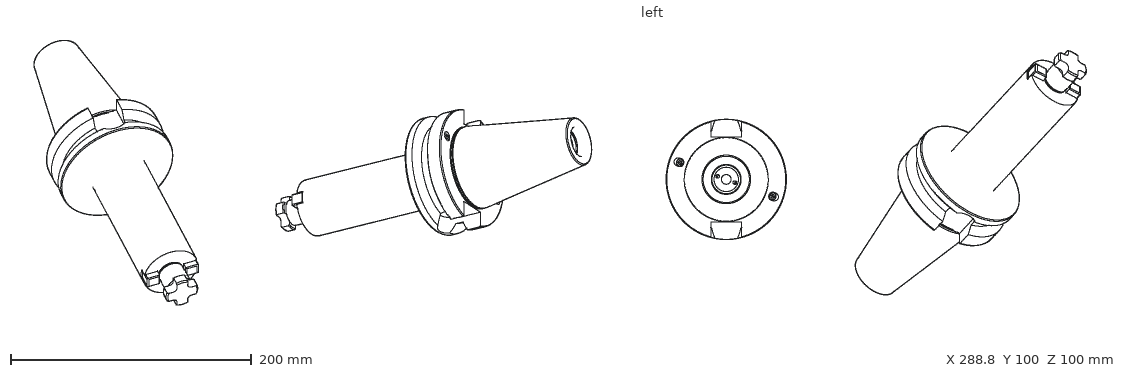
import cadquery as cq
import math

total_length = 288.8
gauge_x = 102.0
flange_x = 104.8
flange_end_x = 139.8
shank_end_x = 262.0
pilot_end_x = 280.5

gauge_radius = 35.0
taper_per_length = 7 / 48
taper_end_radius = gauge_radius - gauge_x * taper_per_length
taper_end_chamfer = 1.0
flange_radius = 50.0
shank_radius = 24.0
pilot_radius = 11.0

neck_relief_width = 1.7
neck_relief_depth = 0.5

flange_rear_chamfer_length = 1.2
flange_front_chamfer_length = 1.2
flange_chamfer_depth = 0.5
groove_radius = 42.2
groove_floor_width = 6.4
groove_centre_x = 125.0
groove_step_width = 0.5
groove_step_depth = 1.5
flank_slope = math.tan(math.radians(30))
rear_flank_run = (flange_radius - groove_radius - groove_step_depth) * flank_slope
front_flank_run = (flange_radius - groove_radius) * flank_slope
slot_width = 25.7
slot_floor_z = 35.2
slot_end_x = 136.5
shank_fillet = 3.2

shank_chamfer_length = 1.2
shank_chamfer_depth = 0.3
pilot_relief_width = 1.0
pilot_relief_runout = 1.0
pilot_relief_depth = 0.3
pilot_chamfer_length = 2.5
pilot_chamfer_depth = 0.3

mouth_rounding = 2.0
counterbore_radius = 12.5
counterbore_depth = 9.5
pilot_bore_radius = 11.8
pilot_bore_depth = 10.7
thread_radius = 10.0
drill_depth = 115.5
drill_half_angle = 59.0
passage_radius = 4.0
thread_start_x = pilot_bore_depth + pilot_bore_radius - thread_radius
drill_cone_length = (thread_radius - passage_radius) / math.tan(math.radians(drill_half_angle))

duct_angle = 20.0
duct_tilt = 30.0
duct_mouth_radius = 42.0
duct_exit_radius = 7.5
duct_radius = 1.5
duct_turns = (duct_angle, duct_angle + 180)
slant_run = (duct_mouth_radius - duct_exit_radius) / math.tan(math.radians(duct_tilt))
slant_length = slant_run / math.cos(math.radians(duct_tilt))

plug_radius = 3.5
plug_depth = 1.7
plug_length = 7.2
plug_chamfer = 0.5
plug_socket_width = 3.5
plug_socket_depth = 3.0

key_width = 10.0
key_inner_y = 11.5
key_outer_y = 23.0
key_start_x = 256.0
key_end_x = 267.5
key_chamfer = 1.0

head_radius = 14.2
head_rear_chamfer = 1.0
head_front_chamfer_length = 1.2
head_front_chamfer_depth = 1.2
lobe_half_width = 5.0
notch_corner_radius = 3.2
screw_shank_length = 29.0

pick_margin = 0.3


def revolve_about_x(profile):
    """Solid of revolution about X from a closed list of (x, radius) points."""
    return cq.Workplane("XZ").polyline(profile).close().revolve(360, (0, 0, 0), (1, 0, 0))


def at_duct(shape, turn):
    """Moves a shape built along +X from the origin onto one slanted duct, its origin at the mouth."""
    tilted = shape.rotate((0, 0, 0), (0, 0, 1), -duct_tilt)
    return tilted.translate((flange_x, duct_mouth_radius, 0)).rotate((0, 0, 0), (1, 0, 0), turn)


def cylinder_along_x(radius, start_x, end_x):
    return cq.Workplane("YZ", origin=(start_x, 0, 0)).circle(radius).extrude(end_x - start_x)


def holder_blank():
    groove_start_x = groove_centre_x - groove_floor_width / 2
    groove_stop_x = groove_centre_x + groove_floor_width / 2
    flange_edge_radius = flange_radius - flange_chamfer_depth
    neck_radius = gauge_radius - neck_relief_depth
    relief_start_x = flange_x - neck_relief_width
    profile = [
        (0, 0),
        (0, taper_end_radius - taper_end_chamfer),
        (taper_end_chamfer, taper_end_radius + taper_end_chamfer * taper_per_length),
        (gauge_x, gauge_radius),
        (relief_start_x, neck_radius),
        (flange_x - neck_relief_depth, neck_radius),
        (flange_x, gauge_radius),
        (flange_x, flange_edge_radius),
        (flange_x + flange_rear_chamfer_length, flange_radius),
        (groove_start_x - groove_step_width - rear_flank_run, flange_radius),
        (groove_start_x - groove_step_width, groove_radius + groove_step_depth),
        (groove_start_x, groove_radius),
        (groove_stop_x, groove_radius),
        (groove_stop_x + front_flank_run, flange_radius),
        (flange_end_x - flange_front_chamfer_length, flange_radius),
        (flange_end_x, flange_edge_radius),
        (flange_end_x, shank_radius),
        (shank_end_x - shank_chamfer_length, shank_radius),
        (shank_end_x, shank_radius - shank_chamfer_depth),
        (shank_end_x, pilot_radius - pilot_relief_depth),
        (shank_end_x + pilot_relief_width, pilot_radius - pilot_relief_depth),
        (shank_end_x + pilot_relief_width + pilot_relief_runout, pilot_radius),
        (pilot_end_x - pilot_chamfer_length, pilot_radius),
        (pilot_end_x, pilot_radius - pilot_chamfer_depth),
        (pilot_end_x, 0),
    ]
    shank_root = cq.selectors.BoxSelector(
        (flange_end_x - pick_margin, -flange_edge_radius, -flange_edge_radius),
        (flange_end_x + pick_margin, flange_edge_radius - pick_margin, flange_edge_radius - pick_margin),
        boundingbox=True,
    )
    return revolve_about_x(profile).edges(shank_root).fillet(shank_fillet)


def flange_slot(side):
    """Cutter for one round-ended driving slot; side is +1 for +Z and -1 for -Z."""
    end_centre_x = slot_end_x - slot_width / 2
    return (
        cq.Workplane("XY", origin=(0, 0, side * slot_floor_z))
        .moveTo(flange_x, -slot_width / 2)
        .lineTo(end_centre_x, -slot_width / 2)
        .threePointArc((slot_end_x, 0), (end_centre_x, slot_width / 2))
        .lineTo(flange_x, slot_width / 2)
        .close()
        .extrude(side * flange_radius)
    )


def central_bore():
    mouth_radius = counterbore_radius + mouth_rounding
    arc_offset = mouth_rounding * math.sqrt(0.5)
    return (
        cq.Workplane("XZ")
        .lineTo(0, mouth_radius)
        .threePointArc(
            (mouth_rounding - arc_offset, mouth_radius - arc_offset),
            (mouth_rounding, counterbore_radius),
        )
        .lineTo(counterbore_depth, counterbore_radius)
        .lineTo(counterbore_depth, pilot_bore_radius)
        .lineTo(pilot_bore_depth, pilot_bore_radius)
        .lineTo(thread_start_x, thread_radius)
        .lineTo(drill_depth, thread_radius)
        .lineTo(drill_depth + drill_cone_length, passage_radius)
        .lineTo(pilot_end_x, passage_radius)
        .lineTo(pilot_end_x, 0)
        .close()
        .revolve(360, (0, 0, 0), (1, 0, 0))
    )


def coolant_duct(turn):
    """Cutter for one duct: the seat of the plug, the slanted leg and the straight leg."""
    seat = cylinder_along_x(plug_radius, -plug_radius, plug_depth + plug_length)
    slanted_leg = cylinder_along_x(duct_radius, 0, slant_length)
    straight_leg = (
        cylinder_along_x(duct_radius, drill_depth, flange_x + slant_run)
        .translate((0, duct_exit_radius, 0))
        .rotate((0, 0, 0), (1, 0, 0), turn)
    )
    return at_duct(seat.union(slanted_leg), turn).union(straight_leg)


def key_block(side):
    """Square-edged block for one key; side is +1 for +Y and -1 for -Y."""
    return cq.Workplane("XY").box(
        key_end_x - key_start_x, key_outer_y - key_inner_y, key_width
    ).translate(((key_start_x + key_end_x) / 2, side * (key_inner_y + key_outer_y) / 2, 0))


def key_slot(side):
    depth = shank_end_x - key_start_x
    height = shank_radius - key_inner_y
    return cq.Workplane("XY").box(depth, height, key_width).translate(
        (key_start_x + depth / 2, side * (key_inner_y + height / 2), 0)
    )


def make_holder():
    holder = holder_blank().cut(central_bore())
    for side in (1, -1):
        holder = holder.cut(flange_slot(side)).cut(key_slot(side))
    for turn in duct_turns:
        holder = holder.cut(coolant_duct(turn))
    return holder


def make_key(side):
    outer_face = ">Y" if side > 0 else "<Y"
    return key_block(side).faces(outer_face).chamfer(key_chamfer).faces(">X").edges().chamfer(key_chamfer)


def make_plug(turn):
    body = cylinder_along_x(plug_radius, plug_depth, plug_depth + plug_length).edges().chamfer(plug_chamfer)
    socket = (
        cq.Workplane("YZ", origin=(plug_depth, 0, 0))
        .polygon(6, plug_socket_width)
        .extrude(plug_socket_depth)
    )
    return at_duct(body.cut(socket), turn)


def make_screw():
    head_length = total_length - pilot_end_x
    head = revolve_about_x([
        (pilot_end_x, 0),
        (pilot_end_x, head_radius - head_rear_chamfer),
        (pilot_end_x + head_rear_chamfer, head_radius),
        (total_length - head_front_chamfer_length, head_radius),
        (total_length, head_radius - head_front_chamfer_depth),
        (total_length, 0),
    ])
    span = 2 * head_radius
    bar = cq.Workplane("YZ", origin=(pilot_end_x, 0, 0))
    cross = bar.rect(span, 2 * lobe_half_width).extrude(head_length)
    cross = cross.union(bar.rect(2 * lobe_half_width, span).extrude(head_length))
    corner_reach = lobe_half_width + pick_margin
    inner_corners = cq.selectors.BoxSelector(
        (pilot_end_x, -corner_reach, -corner_reach),
        (total_length, corner_reach, corner_reach),
    )
    cross = cross.edges("|X").edges(inner_corners).fillet(notch_corner_radius)
    shank = cylinder_along_x(passage_radius, pilot_end_x - screw_shank_length, pilot_end_x)
    return head.intersect(cross).union(shank)


holder = make_holder()
screw = make_screw()
keys = [make_key(side) for side in (1, -1)]
plugs = [make_plug(turn) for turn in duct_turns]
result = cq.Compound.makeCompound(
    [holder.val(), screw.val(), *[key.val() for key in keys], *[plug.val() for plug in plugs]]
)